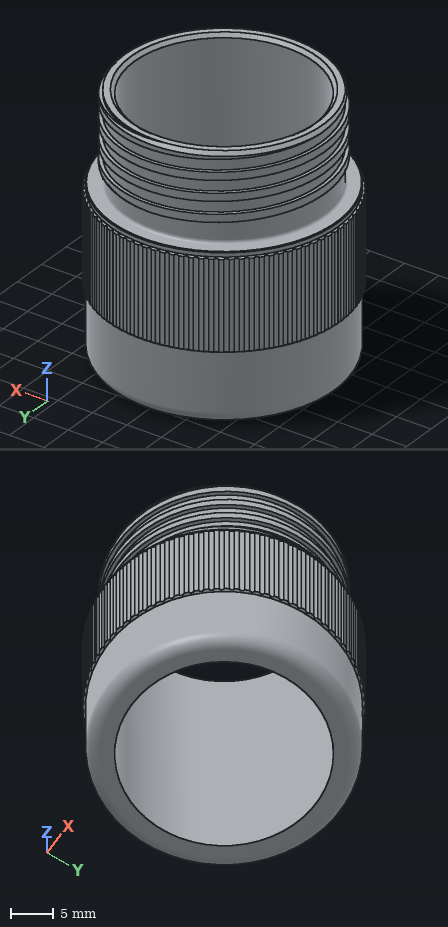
import cadquery as cq
import math

height = 36.53
body_radius = 16.45
bore_radius = 12.95
bore_chamfer = 0.5
base_fillet = 1.65

grip_radius = 16.75
grip_bottom = 10.05
grip_top = 23.1
grip_end_drop = 0.15
groove_count = 87
groove_radius = 0.4
groove_depth = 0.15

shoulder_height = 23.78
shoulder_chamfer = 0.1
neck_radius = 14.4
neck_fillet = 0.47

thread_radius = 14.9
thread_start = 26.15
thread_pitch = 2.9
ridge_width = 1.15
ridge_crossing = 32.3
ridge_depth = thread_radius - neck_radius
root_overlap = 0.22
envelope_margin = 0.35


def cylinder(radius, bottom, top):
    return cq.Workplane("XY").workplane(offset=bottom).circle(radius).extrude(top - bottom)


def make_body():
    """Plain barrel with a rounded base and a lightly chamfered shoulder."""
    body = cylinder(body_radius, 0, shoulder_height)
    body = body.faces("<Z").edges().fillet(base_fillet)
    return body.faces(">Z").edges().chamfer(shoulder_chamfer)


def make_grip():
    """Band with sloped ends and shallow round grooves running its full height."""
    groove_pitch_angle = 360 / groove_count
    band = (
        cq.Workplane("XZ")
        .moveTo(0, grip_bottom)
        .lineTo(body_radius, grip_bottom)
        .lineTo(grip_radius, grip_bottom + grip_end_drop)
        .lineTo(grip_radius, grip_top - grip_end_drop)
        .lineTo(body_radius, grip_top)
        .lineTo(0, grip_top)
        .close()
        .revolve(360, (0, 0, 0), (0, 1, 0))
    )
    grooves = (
        cq.Workplane("XY")
        .workplane(offset=grip_bottom)
        .polarArray(grip_radius - groove_depth + groove_radius, groove_pitch_angle / 2, 360, groove_count)
        .circle(groove_radius)
        .extrude(grip_top - grip_bottom)
    )
    return band.cut(grooves)


def make_neck():
    """Plain neck with a concave fillet where it meets the shoulder."""
    return (
        cq.Workplane("XZ")
        .lineTo(neck_radius + neck_fillet, 0)
        .radiusArc((neck_radius, neck_fillet), neck_fillet)
        .lineTo(neck_radius, height - shoulder_height)
        .lineTo(0, height - shoulder_height)
        .close()
        .revolve(360, (0, 0, 0), (0, 1, 0))
        .translate((0, 0, shoulder_height))
    )


def make_thread():
    """Helical ridge, sunk into the neck wall and trimmed at both ends by 45 degree cones."""
    turns_below = math.ceil((ridge_crossing - thread_start) / thread_pitch)
    turns_above = math.ceil((height - ridge_crossing) / thread_pitch)
    helix_height = (turns_below + turns_above) * thread_pitch
    helix = cq.Wire.makeHelix(thread_pitch, helix_height, neck_radius)
    section_depth = ridge_depth + root_overlap
    ridge = (
        cq.Workplane("XZ")
        .center(thread_radius - section_depth / 2, 0)
        .rect(section_depth, ridge_width)
        .sweep(cq.Workplane(helix), isFrenet=True)
        .translate((0, 0, ridge_crossing - turns_below * thread_pitch))
    )
    inner_radius = neck_radius - root_overlap - envelope_margin
    outer_radius = thread_radius + envelope_margin
    cone_rise = outer_radius - neck_radius
    envelope = (
        cq.Workplane("XZ")
        .moveTo(inner_radius, thread_start)
        .lineTo(neck_radius, thread_start)
        .lineTo(outer_radius, thread_start + cone_rise)
        .lineTo(outer_radius, height - cone_rise)
        .lineTo(neck_radius, height)
        .lineTo(inner_radius, height)
        .close()
        .revolve(360, (0, 0, 0), (0, 1, 0))
    )
    return ridge.intersect(envelope)


def make_bore():
    """Through bore with a chamfered mouth at the top."""
    bore = cylinder(bore_radius, 0, height)
    mouth = (
        cq.Workplane("XY")
        .workplane(offset=height)
        .circle(bore_radius + bore_chamfer)
        .workplane(offset=-bore_chamfer)
        .circle(bore_radius)
        .loft()
    )
    return bore.union(mouth)


shell = make_body().union(make_grip()).union(make_neck()).union(make_thread())
result = shell.cut(make_bore())